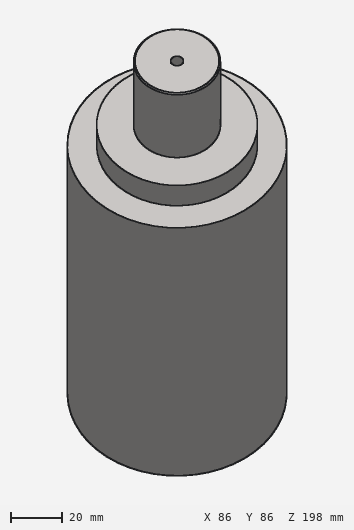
import cadquery as cq

total_height = 198.0
body_diameter = 86.0
collar_diameter = 63.0
collar_height = 12.0
shaft_diameter = 34.0
shaft_height = 38.0
bore_diameter = 5.0
body_height = total_height - collar_height - shaft_height

body = cq.Workplane("XY").circle(body_diameter / 2).extrude(body_height)

collar = body.faces(">Z").workplane().circle(collar_diameter / 2).extrude(collar_height)
shaft = collar.faces(">Z").workplane().circle(shaft_diameter / 2).extrude(shaft_height)

shaft_end_chamfer = 0.5
chamfered = shaft.faces(">Z").edges().chamfer(shaft_end_chamfer)

result = chamfered.faces(">Z").workplane().hole(bore_diameter)